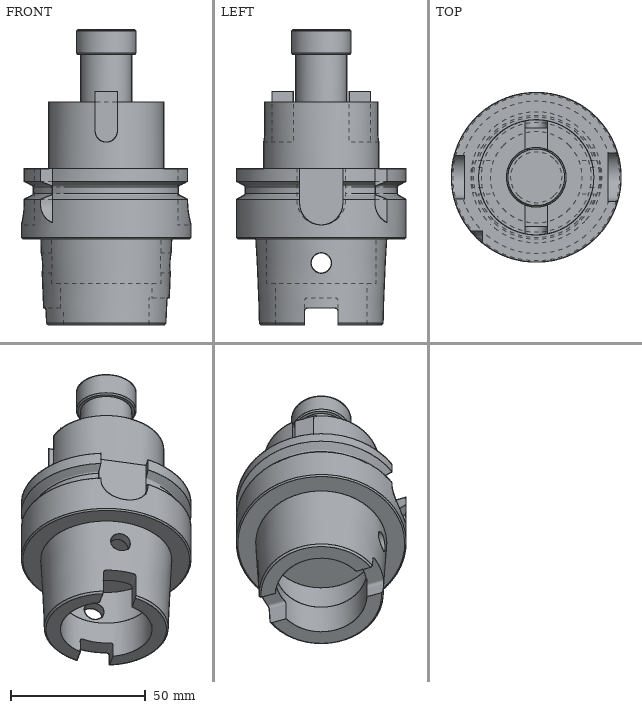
import cadquery as cq

total_height = 109.6
flange_bottom_z = 32.0
flange_top_z = 58.0
boss_top_z = 82.8
head_bottom_z = 100.3

flange_diameter = 63.0
boss_diameter = 42.8
neck_diameter = 19.0
head_diameter = 22.1
head_chamfer = 0.5
flange_chamfer = 0.5

groove_center_z = 50.0
groove_mouth_width = 6.7
groove_floor_width = 3.2
groove_floor_diameter = 56.6
groove_fillet = 0.5

taper_top_diameter = 48.7
taper_bottom_diameter = 46.0
shank_chamfer_radial = 0.7
shank_chamfer_height = 0.8
bore_mouth_diameter = 34.0
bore_mouth_depth = 15.4
bore_recess_diameter = 40.8
bore_total_depth = flange_bottom_z
cross_hole_diameter = 7.5
cross_hole_z = 23.0

left_slot_width = 16.0
right_slot_width = 18.0
flange_slot_floor_x = 26.5
left_slot_center_z = 45.2
slot_bottom_z = left_slot_center_z - left_slot_width / 2
notch_inset = 20.0

drive_slot_width = 12.4
drive_slot_fillet = 1.1
left_drive_slot_depth = 6.3
right_drive_slot_depth = 10.1

key_width = 8.2
key_bottom_z = 67.9
key_top_z = 86.7
key_inner_y = 10.3
key_outer_y = 18.3

flange_radius = flange_diameter / 2


def turned_body():
    """Shank, flange, boss, neck and head turned about Z."""
    taper_radius = taper_bottom_diameter / 2
    boss_radius = boss_diameter / 2
    neck_radius = neck_diameter / 2
    head_radius = head_diameter / 2
    profile = [
        (0, 0),
        (taper_radius - shank_chamfer_radial, 0),
        (taper_radius, shank_chamfer_height),
        (taper_top_diameter / 2, flange_bottom_z),
        (flange_radius - flange_chamfer, flange_bottom_z),
        (flange_radius, flange_bottom_z + flange_chamfer),
        (flange_radius, flange_top_z),
        (boss_radius, flange_top_z),
        (boss_radius, boss_top_z),
        (neck_radius, boss_top_z),
        (neck_radius, head_bottom_z),
        (head_radius - head_chamfer, head_bottom_z),
        (head_radius, head_bottom_z + head_chamfer),
        (head_radius, total_height - head_chamfer),
        (head_radius - head_chamfer, total_height),
        (0, total_height),
    ]
    return cq.Workplane("XZ").polyline(profile).close().revolve(360, (0, 0), (0, 1))


def gripper_groove():
    """Ring with a trapezoid section and rounded floor corners."""
    floor_radius = groove_floor_diameter / 2
    profile = [
        (floor_radius, groove_center_z - groove_floor_width / 2),
        (flange_radius, groove_center_z - groove_mouth_width / 2),
        (flange_radius, groove_center_z + groove_mouth_width / 2),
        (floor_radius, groove_center_z + groove_floor_width / 2),
    ]
    ring = cq.Workplane("XZ").polyline(profile).close().revolve(360, (0, 0), (0, 1))
    floor_edges = ring.edges(cq.selectors.RadiusNthSelector(0))
    return floor_edges.fillet(groove_fillet)


def round_bottom_block(plane, width, bottom_z, top_z, start, end):
    """Upright block with a half-round lower end, centred on the plane and spanning start to end."""
    half_width = width / 2
    center_z = bottom_z + half_width
    outline = (
        cq.Workplane(plane)
        .workplane(offset=start)
        .moveTo(-half_width, top_z)
        .lineTo(-half_width, center_z)
        .threePointArc((0, bottom_z), (half_width, center_z))
        .lineTo(half_width, top_z)
        .close()
    )
    return outline.extrude(end - start)


def flange_slots():
    """Left and right slots, and the corner notch cut by the left slot's profile."""
    left = round_bottom_block(
        "YZ", left_slot_width, slot_bottom_z, flange_top_z, -flange_radius, -flange_slot_floor_x
    )
    right = round_bottom_block(
        "YZ", right_slot_width, slot_bottom_z, flange_top_z, flange_slot_floor_x, flange_radius
    )
    notch_center_y = -notch_inset - left_slot_width / 2
    notch = round_bottom_block(
        "YZ", left_slot_width, slot_bottom_z, flange_top_z, -flange_radius, -notch_inset
    ).translate((0, notch_center_y, 0))
    return [left, right, notch]


def stepped_bore():
    """Blind bore from the shank end that widens behind its mouth."""
    mouth = cq.Workplane("XY").circle(bore_mouth_diameter / 2).extrude(bore_mouth_depth)
    recess_length = bore_total_depth - bore_mouth_depth
    recess = cq.Workplane("XY").circle(bore_recess_diameter / 2).extrude(recess_length)
    return mouth.union(recess.translate((0, 0, bore_mouth_depth)))


def drive_slot(side, depth):
    """Slot open at the shank end, from the axis outward; side is -1 or 1 along X."""
    length = taper_top_diameter / 2
    block = cq.Workplane("XY").box(length, drive_slot_width, depth, centered=(True, True, False))
    return block.edges("|X and >Z").fillet(drive_slot_fillet).translate((side * length / 2, 0, 0))


def key_block(side, outer_y):
    """Key-shaped block on the side -1 or 1 along Y, reaching out to outer_y."""
    start, end = sorted((-side * key_inner_y, -side * outer_y))
    return round_bottom_block("XZ", key_width, key_bottom_z, key_top_z, start, end)


def make_holder():
    """Tool holder with the spigot in one piece."""
    body = turned_body().cut(gripper_groove())
    for slot in flange_slots():
        body = body.cut(slot)
    cross_hole = (
        cq.Workplane("YZ")
        .center(0, cross_hole_z)
        .circle(cross_hole_diameter / 2)
        .extrude(taper_top_diameter / 2, both=True)
    )
    body = body.cut(stepped_bore()).cut(cross_hole)
    body = body.cut(drive_slot(-1, left_drive_slot_depth))
    body = body.cut(drive_slot(1, right_drive_slot_depth))
    for side in (-1, 1):
        body = body.cut(key_block(side, boss_diameter / 2))
    return body


def make_key(side):
    """Driving key seated against the inner end of its slot."""
    return key_block(side, key_outer_y)


holder = make_holder()
keys = [make_key(side) for side in (-1, 1)]

result = cq.Compound.makeCompound([holder.val(), *[key.val() for key in keys]])